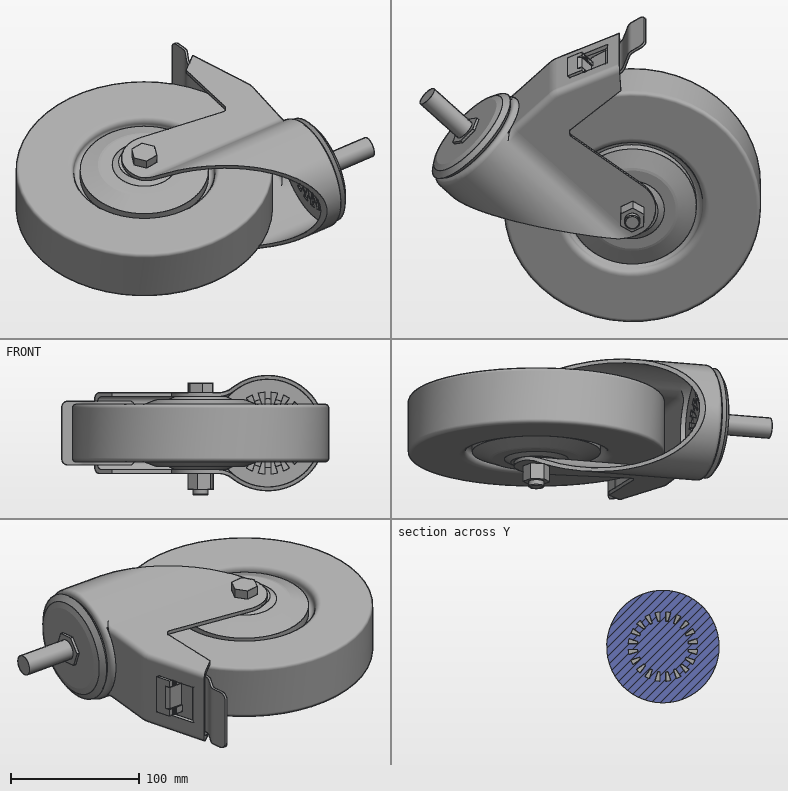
import cadquery as cq
import math


wheel_radius = 100.0
wheel_half_width = 22.5
tread_corner_radius = 3.0
hub_radius = 50.0
rim_fillet_radius = 5.0
rim_groove_outer_radius = hub_radius + 2 * rim_fillet_radius
hub_edge_z = 20.0
hub_rim_radius = 36.0
hub_rim_z = 25.5
hub_face_radius = 34.0
hub_face_z = 26.0
cap_base_radius = 25.0
cap_tip_radius = 20.0

bolt_radius = 6.0
bolt_end_z = -48.35
bolt_end_chamfer = 0.8
hex_corner_radius = 10.4
bolt_head_height = 7.5
bolt_head_turn = 38.0
nut_height = 12.4
nut_turn = 17.0

sheet = 3.0
arm_outer_z = 31.5
arm_inner_z = arm_outer_z - sheet
swivel_x = 52.5
swivel_radius = 45.0
blend_radius = 18.0
roof_y = 117.5
dome_y = 121.5
roof_bend_x = -29.6
roof_slope = math.radians(21.0)
roof_bend_radius = 18.0
fork_tip_x = -82.5
fork_corner_radius = 5.0
fork_inner_corner_radius = 5.0
dome_edge_radius = 4.0
fork_low_y = -40.0
far_x = -120.0
pick_reach = 0.5
arm_end_center = (2.3, 7.2)
arm_end_radius = 25.0
arm_tilt = math.radians(7.5)
arm_end_angle = math.radians(-28.6)
guard_tip = (-68.8, 81.6)
guard_corner_y = 85.6
guard_corner_radius = 4.5
back_edge_y = 107.0
cut_clearance = 1.0
tooth_count = 20
tooth_inner_radius = 20.0
tooth_outer_radius = 32.0
tooth_step_radius = 26.8
tooth_step_depth = 1.0
tooth_depth = 2.2
tooth_end_depth = 1.2
tooth_land_width = 4.7

disc_radius = 43.0
disc_top_y = 130.0
disc_shoulder = (38.0, 128.5)
disc_flat_radius = 33.0
disc_rim_y = 125.0
disc_base_y = 122.4
disc_base_radius = 40.5
disc_neck_radius = 28.0
collar_corner_radius = 13.5
collar_height = 2.2
collar_turn = 10.0
stem_radius = 8.0
stem_end_y = 173.73

pedal_tip = (-108.22, 93.5)
pedal_crest = (-94.3, 96.5)
pedal_trough = (-79.2, 89.2)
pedal_end = (-43.0, 99.0)
pedal_thickness = 2.0
pedal_crest_radius = 8.0
pedal_trough_radius = 12.0
pedal_half_width = 25.0
pedal_corner_radius = 5.0
pedal_shoulder_x = -54.0
lug_half_length = 16.0
lug_front_x = -54.3
lug_rise = 2.2
lug_end_length = 6.0
lug_groove_width = 0.8
lug_groove_heights = (103.9, 106.4)
lug_middle_recess = 1.0
lug_middle_bevel = 1.2
slot_front_x = -73.0


def roof_height(x):
    """Height of the outer face of the sloping part of the fork roof."""
    return roof_y - (roof_bend_x - x) * math.tan(roof_slope)


def edges_at(x, y):
    """Selector for the edges that run along Z through, or close to, the point (x, y)."""
    low = (x - pick_reach, y - pick_reach, -swivel_radius - pick_reach)
    high = (x + pick_reach, y + pick_reach, swivel_radius + pick_reach)
    return cq.selectors.BoxSelector(low, high)


def hex_prism(corner_radius, turn, low_z, height):
    prism = cq.Workplane("XY").polygon(6, 2 * corner_radius).extrude(height)
    return prism.rotate((0, 0, 0), (0, 0, 1), turn).translate((0, 0, low_z))


def disc_about_swivel(radius, low_y, high_y):
    return cq.Workplane("XZ", origin=(swivel_x, low_y, 0)).circle(radius).extrude(low_y - high_y)


def make_tyre():
    """Ring whose sides curve in an S down to the hub."""
    diagonal = rim_fillet_radius * math.sqrt(0.5)
    step_radius = hub_radius + rim_fillet_radius
    step_z = wheel_half_width - rim_fillet_radius
    bottom_z = step_z - rim_fillet_radius
    outer_middle = (rim_groove_outer_radius - diagonal, step_z + diagonal)
    inner_middle = (hub_radius + diagonal, step_z - diagonal)
    profile = (
        cq.Workplane("XZ")
        .moveTo(wheel_radius, -wheel_half_width)
        .lineTo(wheel_radius, wheel_half_width)
        .lineTo(rim_groove_outer_radius, wheel_half_width)
        .threePointArc(outer_middle, (step_radius, step_z))
        .threePointArc(inner_middle, (hub_radius, bottom_z))
        .lineTo(hub_radius, -bottom_z)
        .threePointArc((inner_middle[0], -inner_middle[1]), (step_radius, -step_z))
        .threePointArc((outer_middle[0], -outer_middle[1]), (rim_groove_outer_radius, -wheel_half_width))
        .close()
    )
    tyre = profile.revolve(360, (0, 0, 0), (0, 1, 0))
    tread = cq.selectors.RadiusNthSelector(-1)
    return tyre.edges("%CIRCLE").edges(tread).fillet(tread_corner_radius)


def make_hub():
    half_outline = [
        (bolt_radius, 0),
        (hub_radius, 0),
        (hub_radius, hub_edge_z),
        (hub_rim_radius, hub_rim_z),
        (hub_face_radius, hub_face_z),
        (bolt_radius, hub_face_z),
    ]
    half = cq.Workplane("XZ").polyline(half_outline).close().revolve(360, (0, 0, 0), (0, 1, 0))
    return half.union(half.mirror("XY"))


def make_cap(side):
    outline = [
        (bolt_radius, side * hub_face_z),
        (cap_base_radius, side * hub_face_z),
        (cap_tip_radius, side * arm_inner_z),
        (bolt_radius, side * arm_inner_z),
    ]
    return cq.Workplane("XZ").polyline(outline).close().revolve(360, (0, 0, 0), (0, 1, 0))


def make_bolt():
    shank = (
        cq.Workplane("XY", origin=(0, 0, bolt_end_z))
        .circle(bolt_radius)
        .extrude(arm_outer_z - bolt_end_z)
        .faces("<Z")
        .chamfer(bolt_end_chamfer)
    )
    return shank.union(hex_prism(hex_corner_radius, bolt_head_turn, arm_outer_z, bolt_head_height))


def make_nut():
    nut = hex_prism(hex_corner_radius, nut_turn, -arm_outer_z - nut_height, nut_height)
    return nut.faces("<Z").workplane().hole(2 * bolt_radius)


def fork_channel(inset, bend_radius):
    """Fork below its dome as a full solid; inset by the sheet it is the hollow inside."""
    half_width = arm_outer_z - inset
    radius = swivel_radius - inset
    blend = blend_radius + inset

    blend_z = half_width + blend
    reach = math.sqrt((radius + blend) ** 2 - blend_z**2)
    blend_x = swivel_x - reach
    tangent_x = swivel_x - reach * radius / (radius + blend)
    tangent_z = blend_z * radius / (radius + blend)
    plan = (
        cq.Workplane("XZ", origin=(0, fork_low_y, 0))
        .moveTo(far_x, half_width)
        .lineTo(blend_x, half_width)
        .radiusArc((tangent_x, tangent_z), -blend)
        .threePointArc((swivel_x + radius, 0), (tangent_x, -tangent_z))
        .radiusArc((blend_x, -half_width), -blend)
        .lineTo(far_x, -half_width)
        .close()
        .extrude(fork_low_y - dome_y)
    )

    flat_y = roof_y - inset
    knee_x = roof_bend_x + inset * math.tan(roof_slope / 2)
    low_end_y = flat_y - (knee_x - far_x) * math.tan(roof_slope)
    roof = (
        cq.Workplane("XY")
        .moveTo(far_x, fork_low_y)
        .lineTo(far_x, low_end_y)
        .lineTo(knee_x, flat_y)
        .lineTo(-far_x, flat_y)
        .lineTo(-far_x, fork_low_y)
        .close()
        .extrude(-far_x, both=True)
    )
    roof = roof.edges(edges_at(knee_x, flat_y)).fillet(roof_bend_radius - inset)
    channel = plan.intersect(roof)

    rim = channel.faces(">Y").edges("not |Z").edges(">Z")
    return channel.newObject([rim.val()]).fillet(bend_radius)


def fork_side_outline():
    """Side outline of the fork: guard at the front, arm round the axle, slanted back edge."""
    center_x, center_y = arm_end_center

    def on_arm_end(angle):
        return (center_x + arm_end_radius * math.cos(angle), center_y + arm_end_radius * math.sin(angle))

    arm_start = on_arm_end(math.pi - arm_tilt)
    arm_finish = on_arm_end(arm_end_angle)
    corner_x = arm_start[0] + (guard_corner_y - arm_start[1]) * math.tan(arm_tilt)
    back_x = swivel_x + swivel_radius
    outline = (
        cq.Workplane("XY", origin=(0, 0, -swivel_radius))
        .moveTo(fork_tip_x, dome_y)
        .lineTo(fork_tip_x, roof_height(fork_tip_x))
        .lineTo(*guard_tip)
        .lineTo(corner_x, guard_corner_y)
        .lineTo(*arm_start)
        .threePointArc(on_arm_end(-math.pi / 2), arm_finish)
        .tangentArcPoint((back_x, back_edge_y), relative=False)
        .lineTo(back_x, dome_y)
        .close()
        .extrude(2 * swivel_radius)
    )
    return outline.edges(edges_at(corner_x, guard_corner_y)).fillet(guard_corner_radius)


def make_teeth_cutter():
    """Ring of radial grooves in the ceiling of the swivel housing, deeper toward the swivel axis."""
    ceiling_y = dome_y - sheet
    section = [
        (tooth_inner_radius, ceiling_y - cut_clearance),
        (tooth_inner_radius, ceiling_y + tooth_depth),
        (tooth_outer_radius, ceiling_y + tooth_end_depth),
        (tooth_outer_radius, ceiling_y - cut_clearance),
    ]
    ring = cq.Workplane("XY").polyline(section).close().revolve(360, (0, 0, 0), (0, 1, 0))
    inner_half_width = math.pi * tooth_inner_radius / tooth_count - tooth_land_width / 2
    outer_half_width = math.pi * tooth_outer_radius / tooth_count - tooth_land_width / 2
    wedge_outline = [
        (tooth_inner_radius, -inner_half_width),
        (tooth_outer_radius, -outer_half_width),
        (tooth_outer_radius, outer_half_width),
        (tooth_inner_radius, inner_half_width),
    ]
    wedge = (
        cq.Workplane("XZ", origin=(0, ceiling_y - cut_clearance, 0))
        .polyline(wedge_outline)
        .close()
        .extrude(-sheet - cut_clearance)
    )
    groove = ring.intersect(wedge)
    pitch = 360 / tooth_count
    cutter = disc_about_swivel(tooth_step_radius, ceiling_y - cut_clearance, ceiling_y + tooth_step_depth)
    for i in range(tooth_count):
        turned = groove.rotate((0, 0, 0), (0, 1, 0), 90 + pitch * (i + 0.5))
        cutter = cutter.union(turned.translate((swivel_x, 0, 0)))
    return cutter


def make_fork():
    outer_dome = disc_about_swivel(swivel_radius, fork_low_y, dome_y).faces(">Y").fillet(dome_edge_radius)
    inner_dome = disc_about_swivel(swivel_radius - sheet, fork_low_y, dome_y - sheet)
    outer_form = fork_channel(0, fork_corner_radius).union(outer_dome)
    inner_form = fork_channel(sheet, fork_inner_corner_radius).union(inner_dome)
    fork = outer_form.cut(inner_form).intersect(fork_side_outline())
    axle_hole = cq.Workplane("XY").circle(bolt_radius).extrude(arm_outer_z, both=True)
    lug_slot = (
        cq.Workplane("XY")
        .moveTo(slot_front_x, pedal_end[1])
        .lineTo(pedal_end[0], pedal_end[1])
        .lineTo(pedal_end[0], roof_y)
        .lineTo(slot_front_x, roof_y)
        .close()
        .extrude(lug_half_length, both=True)
    )
    return fork.cut(axle_hole).cut(lug_slot).cut(make_teeth_cutter())


def make_bearing():
    outline = [
        (0, dome_y),
        (disc_neck_radius, dome_y),
        (disc_neck_radius, disc_base_y),
        (disc_base_radius, disc_base_y),
        (disc_radius, disc_rim_y),
        disc_shoulder,
        (disc_flat_radius, disc_top_y),
        (0, disc_top_y),
    ]
    bearing = cq.Workplane("XY").polyline(outline).close().revolve(360, (0, 0, 0), (0, 1, 0))
    return bearing.translate((swivel_x, 0, 0))


def make_stem():
    collar = (
        hex_prism(collar_corner_radius, collar_turn, 0, collar_height)
        .rotate((0, 0, 0), (1, 0, 0), -90)
        .translate((swivel_x, disc_top_y, 0))
    )
    return collar.union(disc_about_swivel(stem_radius, disc_top_y, stem_end_y))


def make_pedal():
    lower_line = [pedal_tip, pedal_crest, pedal_trough, pedal_end]
    upper_line = [(x, y + pedal_thickness) for x, y in reversed(lower_line)]
    pedal = cq.Workplane("XY").polyline(lower_line + upper_line).close().extrude(pedal_half_width, both=True)
    bends = ((pedal_crest, pedal_crest_radius), (pedal_trough, pedal_trough_radius))
    for (bend_x, bend_y), bend_radius in bends:
        for edge_y in (bend_y, bend_y + pedal_thickness):
            pedal = pedal.edges(edges_at(bend_x, edge_y)).fillet(bend_radius)
    pedal = pedal.faces("<X").edges("not |Z").fillet(pedal_corner_radius)

    taper_end_x = pedal_shoulder_x + pedal_half_width - lug_half_length
    for side in (1, -1):
        waste_outline = [
            (pedal_shoulder_x, side * pedal_half_width),
            (taper_end_x, side * lug_half_length),
            (pedal_end[0], side * lug_half_length),
            (pedal_end[0], side * pedal_half_width),
        ]
        pedal = pedal.cut(cq.Workplane("XZ").polyline(waste_outline).close().extrude(-roof_y))

    trough_slope = (pedal_end[1] - pedal_trough[1]) / (pedal_end[0] - pedal_trough[0])
    lug_foot_y = pedal_trough[1] + trough_slope * (lug_front_x - pedal_trough[0])
    lug = (
        cq.Workplane("XY")
        .moveTo(lug_front_x, lug_foot_y + pedal_thickness / 2)
        .lineTo(pedal_end[0], pedal_end[1] + pedal_thickness / 2)
        .lineTo(pedal_end[0], roof_height(pedal_end[0]) + lug_rise)
        .lineTo(lug_front_x, roof_height(lug_front_x) + lug_rise)
        .close()
        .extrude(lug_half_length, both=True)
    )

    middle_half_length = lug_half_length - lug_end_length
    middle_x = lug_front_x + lug_middle_recess
    top_y = roof_height(pedal_end[0]) + lug_rise
    bevel_y = roof_height(lug_front_x) + lug_rise - lug_middle_bevel
    recess = (
        cq.Workplane("XY")
        .moveTo(lug_front_x, lug_foot_y + pedal_thickness)
        .lineTo(middle_x, lug_foot_y + pedal_thickness)
        .lineTo(middle_x, bevel_y)
        .lineTo(middle_x + top_y - bevel_y, top_y)
        .lineTo(lug_front_x, top_y)
        .close()
        .extrude(middle_half_length, both=True)
    )
    lug = lug.cut(recess)

    for side in (1, -1):
        groove_z = side * (lug_half_length - lug_end_length / 2)
        for groove_y in lug_groove_heights:
            groove = cq.Workplane("XY").box(2 * lug_groove_width, lug_groove_width, lug_end_length)
            lug = lug.cut(groove.translate((lug_front_x, groove_y, groove_z)))
    return pedal.union(lug)


tyre = make_tyre()
hub = make_hub()
caps = [make_cap(side) for side in (1, -1)]
bolt = make_bolt()
nut = make_nut()
fork = make_fork()
bearing = make_bearing()
stem = make_stem()
pedal = make_pedal()

result = cq.Compound.makeCompound(
    [
        tyre.val(),
        hub.val(),
        *[cap.val() for cap in caps],
        bolt.val(),
        nut.val(),
        fork.val(),
        bearing.val(),
        stem.val(),
        pedal.val(),
    ]
)